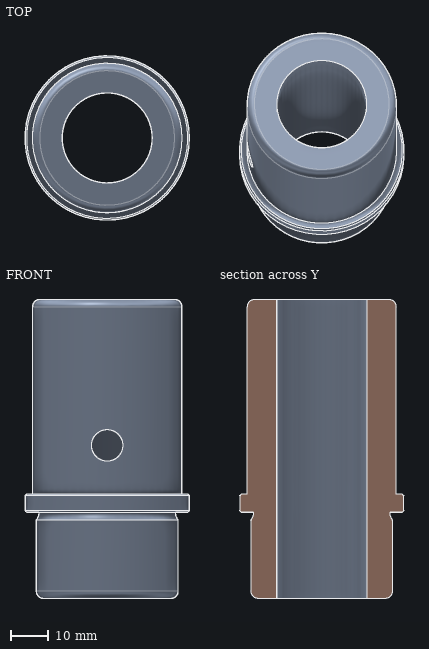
import cadquery as cq
import math

height = 80.0
bore_diameter = 24.0
body_diameter = 40.0
spigot_diameter = 38.0
body_radius = body_diameter / 2
spigot_radius = spigot_diameter / 2
end_round = 2.0

collar_diameter = 44.0
collar_radius = collar_diameter / 2
collar_bottom = 23.0
collar_top = 28.0
collar_chamfer = 0.5

relief_height = 2.0
relief_depth = 0.7

cross_hole_diameter = 8.4
cross_hole_height = 41.0


def make_disc(radius, bottom, top):
    return cq.Workplane("XY").workplane(offset=bottom).circle(radius).extrude(top - bottom)


def make_spigot():
    relief_start = collar_bottom - relief_height
    straight = make_disc(spigot_radius, 0, relief_start).faces("<Z").edges().fillet(end_round)
    arc_radius = (relief_height**2 + relief_depth**2) / (2 * relief_depth)
    half_angle = math.asin(relief_height / arc_radius) / 2
    arc_middle = (
        spigot_radius - relief_depth + arc_radius * (1 - math.cos(half_angle)),
        collar_bottom - arc_radius * math.sin(half_angle),
    )
    relief = (
        cq.Workplane("XZ")
        .moveTo(0, relief_start)
        .lineTo(0, collar_bottom)
        .lineTo(spigot_radius - relief_depth, collar_bottom)
        .threePointArc(arc_middle, (spigot_radius, relief_start))
        .close()
        .revolve(360, (0, 0), (0, 1))
    )
    return straight.union(relief)


def make_collar():
    return make_disc(collar_radius, collar_bottom, collar_top).edges().chamfer(collar_chamfer)


def make_body():
    return make_disc(body_radius, collar_top, height).faces(">Z").edges().fillet(end_round)


def make_cross_hole():
    return (
        cq.Workplane("XZ", origin=(0, 0, cross_hole_height))
        .circle(cross_hole_diameter / 2)
        .extrude(collar_radius)
    )


bore = make_disc(bore_diameter / 2, 0, height)
result = make_spigot().union(make_collar()).union(make_body()).cut(bore).cut(make_cross_hole())